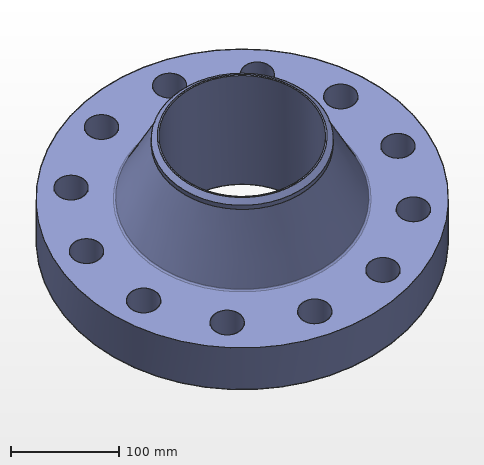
import cadquery as cq
import math

flange_diameter = 381
flange_thickness = 56.0
raised_face_diameter = 216.0
raised_face_height = 6.0
total_height = 146.0

hub_base_diameter = 235.0
weld_end_diameter = 168.5
weld_end_length = 10.0
bore_diameter = 154.0
land_width = 1.5
bevel_angle = 37.5
hub_fillet_radius = 2.3

bolt_count = 12
bolt_circle_diameter = 317.3
bolt_hole_diameter = 31.5

flange_bottom = raised_face_height
flange_top = flange_bottom + flange_thickness
weld_end_bottom = total_height - weld_end_length

land_radius = bore_diameter / 2 + land_width
bevel_width = weld_end_diameter / 2 - land_radius
bevel_height = bevel_width * math.tan(math.radians(bevel_angle))


def disc(diameter, bottom, top):
    """Solid disc about the Z axis between two heights."""
    return cq.Workplane("XY").workplane(offset=bottom).circle(diameter / 2).extrude(top - bottom)


def make_hub():
    """Solid tapered hub ending in a short straight, bevelled weld end."""
    return (
        cq.Workplane("XZ")
        .moveTo(0, flange_top)
        .lineTo(hub_base_diameter / 2, flange_top)
        .lineTo(weld_end_diameter / 2, weld_end_bottom)
        .lineTo(weld_end_diameter / 2, total_height - bevel_height)
        .lineTo(land_radius, total_height)
        .lineTo(0, total_height)
        .close()
        .revolve(360, (0, 0, 0), (0, 1, 0))
    )


def make_bolt_holes():
    """Cutting cylinders for the ring of bolt holes through the plate."""
    return (
        cq.Workplane("XY")
        .workplane(offset=flange_bottom)
        .polarArray(bolt_circle_diameter / 2, 0, 360, bolt_count)
        .circle(bolt_hole_diameter / 2)
        .extrude(flange_thickness)
    )


raised_face = disc(raised_face_diameter, 0, flange_bottom)
plate = disc(flange_diameter, flange_bottom, flange_top)
body = raised_face.union(plate).union(make_hub())

corner_reach = hub_base_diameter / 2 + hub_fillet_radius
hub_corner = cq.selectors.BoxSelector(
    (-corner_reach, -corner_reach, flange_top - hub_fillet_radius),
    (corner_reach, corner_reach, flange_top + hub_fillet_radius),
    boundingbox=True,
)
body = body.edges(hub_corner).fillet(hub_fillet_radius)

bore = disc(bore_diameter, 0, total_height)
result = body.cut(bore).cut(make_bolt_holes())